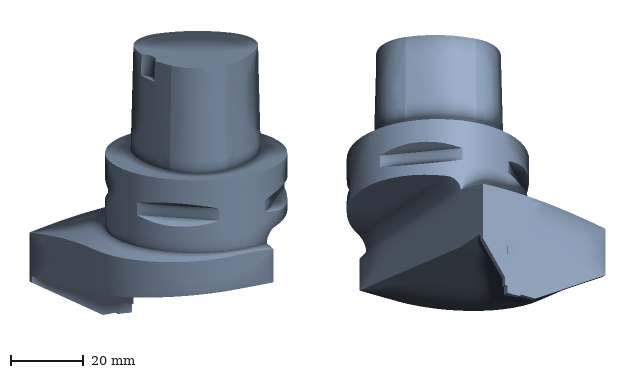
import cadquery as cq
import math

shank_height = 30.0
shank_taper = 1 / 40
lobe_count = 3
lobe_center_distance = 6.4
lobe_base_radius = 12.3
lobe_half_angle = 39.5
key_notch_radius = 4.3
key_notch_center_y = -18.2
key_notch_depth = 5.95

flange_radius = 50.0 / 2
flange_height = 20.9
slot_count = 4
slot_floor_distance = 22.2
slot_floor_width = 3.5
slot_mid_z = -10.1
slot_flank_angle = 30
slot_cutter_length = 34.0

bottom_z = -55.0
head_left_x = -34.85
head_right_x = 27.0
head_back_y = 8.0
head_front_y = -32.05
head_corner_radius = 28.2
cone_angle = 15
cone_outer_radius = 51.0
underside_right_z = -31.4
underside_angle = 8
underside_flat_z = -38.4
blade_thickness = 1.3
blade_fillet = 1.2
blade_tip_z = -54.2
blade_tip_front_y = -9.1
blade_back_corner_z = -40.4
blade_front_corner_z = -41.05
blade_back_end_y = 0.8
blade_back_end_z = -50.4
undercut_back_z = -16.1
undercut_angle = 5
undercut_fillet = 4.0

insert_height = 14.2
insert_back_y = -4.25
insert_face_y = 0.8
tip_y = 0.2
tip_height = 2.3
tip_length = 1.6
tip_arc_radius = 3.4
tip_overhang = 0.2
insert_end_relief = 0.25


def tan(degrees):
    return math.tan(math.radians(degrees))


def polar(radius, degrees):
    angle = math.radians(degrees)
    return (radius * math.cos(angle), radius * math.sin(angle))


def lobed_outline(plane, lobe_radius):
    """Closed ring of tangent arcs, a lobe and a flatter flank in turn, with one lobe toward +Y."""
    lobe_pitch = 360 / lobe_count
    flank_turn = lobe_pitch / 2
    seam_along = lobe_center_distance + lobe_radius * math.cos(math.radians(lobe_half_angle))
    seam_across = lobe_radius * math.sin(math.radians(lobe_half_angle))
    seam_distance = math.hypot(seam_along, seam_across)
    seam_turn = math.degrees(math.atan2(seam_across, seam_along))
    law_of_sines = lobe_center_distance / math.sin(math.radians(flank_turn - lobe_half_angle))
    flank_center_distance = law_of_sines * math.sin(math.radians(lobe_half_angle))
    center_spacing = law_of_sines * math.sin(math.radians(flank_turn))
    flank_middle_distance = lobe_radius + center_spacing - flank_center_distance
    lobe_middle_distance = lobe_center_distance + lobe_radius

    outline = plane.moveTo(*polar(seam_distance, 90 - seam_turn))
    for i in range(lobe_count):
        axis = 90 + i * lobe_pitch
        lobe_end = polar(seam_distance, axis + seam_turn)
        next_lobe_start = polar(seam_distance, axis + lobe_pitch - seam_turn)
        outline = outline.threePointArc(polar(lobe_middle_distance, axis), lobe_end)
        outline = outline.threePointArc(polar(flank_middle_distance, axis + flank_turn), next_lobe_start)
    return outline.close()


def make_shank():
    lobe_top_radius = lobe_base_radius - shank_taper * shank_height
    base = lobed_outline(cq.Workplane("XY"), lobe_base_radius)
    top_plane = base.workplane(offset=shank_height, origin=(0, 0, 0))
    shank = lobed_outline(top_plane, lobe_top_radius).loft(ruled=True)
    notch = (
        cq.Workplane("XY", origin=(0, key_notch_center_y, shank_height - key_notch_depth))
        .circle(key_notch_radius)
        .extrude(key_notch_depth)
    )
    return shank.cut(notch)


def make_slot_cutter():
    """Flared gripper slot facing +X; its flanks open outward from a flat floor."""
    depth = flange_radius - slot_floor_distance
    floor_half = slot_floor_width / 2
    mouth_half = floor_half + depth * tan(slot_flank_angle)
    return (
        cq.Workplane("XZ", origin=(0, slot_cutter_length / 2, slot_mid_z))
        .moveTo(slot_floor_distance, -floor_half)
        .lineTo(flange_radius, -mouth_half)
        .lineTo(flange_radius, mouth_half)
        .lineTo(slot_floor_distance, floor_half)
        .close()
        .extrude(slot_cutter_length)
    )


def make_flange():
    flange = cq.Workplane("XY").circle(flange_radius).extrude(-flange_height)
    for i in range(slot_count):
        angle = 360 / slot_count * (i + 0.5)
        flange = flange.cut(make_slot_cutter().rotate((0, 0, 0), (0, 0, 1), angle))
    return flange.cut(make_undercut())


def make_undercut():
    """Clearance behind the head, under the back of the flange."""
    inner_z = undercut_back_z - (flange_radius - head_back_y) * tan(undercut_angle)
    return (
        cq.Workplane("YZ", origin=(-flange_radius, 0, 0))
        .moveTo(flange_radius, undercut_back_z)
        .lineTo(head_back_y, inner_z)
        .lineTo(head_back_y, bottom_z)
        .lineTo(flange_radius, bottom_z)
        .close()
        .extrude(2 * flange_radius)
        .edges(cq.selectors.NearestToPointSelector((0, head_back_y, inner_z)))
        .fillet(undercut_fillet)
    )


def make_head_plan():
    """Plan outline with one large rounded corner."""
    arc_center_x = head_right_x - head_corner_radius
    arc_center_y = head_front_y + head_corner_radius
    return (
        cq.Workplane("XY", origin=(0, 0, bottom_z))
        .moveTo(head_left_x, head_back_y)
        .lineTo(head_left_x, head_front_y)
        .lineTo(arc_center_x, head_front_y)
        .radiusArc((head_right_x, arc_center_y), -head_corner_radius)
        .lineTo(head_right_x, head_back_y)
        .close()
        .extrude(-bottom_z)
    )


def make_cone_envelope():
    """Round body whose conical top falls away from the flange."""
    cone_drop = (cone_outer_radius - flange_radius) * tan(cone_angle)
    return (
        cq.Workplane("XZ")
        .moveTo(0, -flange_height)
        .lineTo(flange_radius, -flange_height)
        .lineTo(cone_outer_radius, -flange_height - cone_drop)
        .lineTo(cone_outer_radius, bottom_z)
        .lineTo(0, bottom_z)
        .close()
        .revolve(360, (0, 0), (0, 1))
    )


def make_front_profile():
    """Sloping underside that runs into the thin blade at the left."""
    blade_right_x = head_left_x + blade_thickness
    middle_y = (head_back_y + head_front_y) / 2
    slope_end_x = head_right_x - (underside_right_z - underside_flat_z) / tan(underside_angle)
    return (
        cq.Workplane("XZ", origin=(0, head_back_y, 0))
        .moveTo(head_left_x, 0)
        .lineTo(head_left_x, bottom_z)
        .lineTo(blade_right_x, bottom_z)
        .lineTo(blade_right_x, underside_flat_z)
        .lineTo(slope_end_x, underside_flat_z)
        .lineTo(head_right_x, underside_right_z)
        .lineTo(head_right_x, 0)
        .close()
        .extrude(head_back_y - head_front_y)
        .edges(cq.selectors.NearestToPointSelector((blade_right_x, middle_y, underside_flat_z)))
        .fillet(blade_fillet)
    )


def make_side_profile():
    """Tapered blade outline across the head's width."""
    return (
        cq.Workplane("YZ", origin=(head_left_x, 0, 0))
        .moveTo(head_back_y, 0)
        .lineTo(head_back_y, blade_back_corner_z)
        .lineTo(blade_back_end_y, blade_back_end_z)
        .lineTo(insert_back_y, blade_tip_z)
        .lineTo(blade_tip_front_y, blade_tip_z)
        .lineTo(head_front_y, blade_front_corner_z)
        .lineTo(head_front_y, 0)
        .close()
        .extrude(head_right_x - head_left_x)
    )


def make_head():
    return (
        make_head_plan()
        .intersect(make_cone_envelope())
        .intersect(make_front_profile())
        .intersect(make_side_profile())
    )


def make_insert():
    """Double-ended insert: a flat bar with a wider cutting tip at each end."""
    top_z = bottom_z + insert_height
    mid_z = bottom_z + insert_height / 2
    bar = (
        cq.Workplane("YZ", origin=(head_left_x, 0, 0))
        .moveTo(insert_back_y, bottom_z + insert_end_relief)
        .lineTo(tip_y, bottom_z)
        .lineTo(tip_y, bottom_z + tip_height)
        .lineTo(insert_face_y, bottom_z + tip_height)
        .lineTo(insert_face_y, top_z - tip_height)
        .lineTo(tip_y, top_z - tip_height)
        .lineTo(tip_y, top_z)
        .lineTo(insert_back_y, top_z - insert_end_relief)
        .close()
        .extrude(blade_thickness)
    )
    tip_end_z = bottom_z + insert_end_relief * tip_length / (tip_y - insert_back_y)
    lower_tip = (
        cq.Workplane("YZ", origin=(head_left_x - tip_overhang, 0, 0))
        .moveTo(tip_y, bottom_z)
        .lineTo(tip_y, bottom_z + tip_height)
        .radiusArc((tip_y - tip_length, tip_end_z), -tip_arc_radius)
        .close()
        .extrude(blade_thickness + 2 * tip_overhang)
    )
    upper_tip = lower_tip.mirror("XY", (0, 0, mid_z))
    return bar.union(lower_tip).union(upper_tip)


insert = make_insert()
holder = make_shank().union(make_flange()).union(make_head()).cut(insert)
result = cq.Compound.makeCompound([*holder.solids().vals(), *insert.solids().vals()])